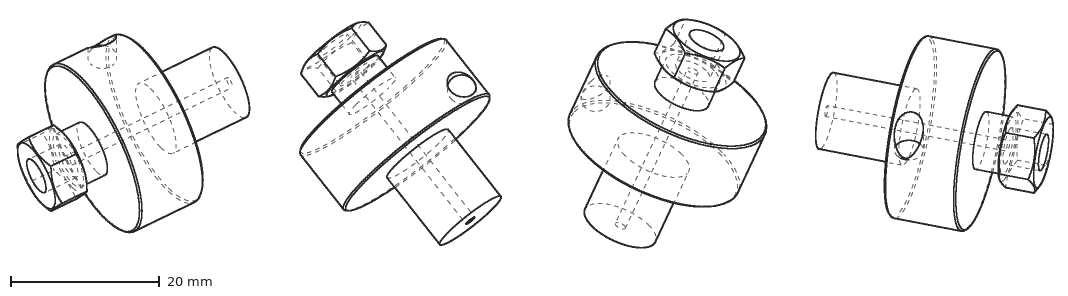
import cadquery as cq
import math

total_length = 30.4
nut_length = 5.0
neck_length = 3.8
disc_width = 10.0
tube_length = total_length - nut_length - neck_length - disc_width

disc_diameter = 25.0
tube_diameter = 10.5
neck_diameter = 7.9
bore_diameter = 1.5
socket_diameter = 5.0

nut_across_flats = 10.0
nut_face_diameter = 9.73
nut_chamfer_angle = 30.0
socket_depth = nut_length

disc_chamfer = 0.25

pocket_diameter = 3.9
pocket_x = -9.5
pocket_from_disc_back = 2.65
pocket_floor_z = 4.75

nut_front = -total_length / 2
nut_back = nut_front + nut_length
disc_front = nut_back + neck_length
disc_back = disc_front + disc_width


def cylinder(diameter, start_y, length):
    """Cylinder on the Y axis, running backward (+Y) from start_y."""
    plane = cq.Workplane("XZ", origin=(0, start_y, 0))
    return plane.circle(diameter / 2).extrude(-length)


def make_nut():
    """Hexagon with its corners on the X axis, turned conically at both ends."""
    corner_radius = nut_across_flats / math.sqrt(3)
    face_radius = nut_face_diameter / 2
    chamfer_drop = (corner_radius - face_radius) * math.tan(math.radians(nut_chamfer_angle))

    hexagon = (
        cq.Workplane("XZ", origin=(0, nut_front, 0))
        .polygon(6, 2 * corner_radius)
        .extrude(-nut_length)
    )
    turned_envelope = (
        cq.Workplane("XY")
        .moveTo(0, nut_front)
        .lineTo(face_radius, nut_front)
        .lineTo(corner_radius, nut_front + chamfer_drop)
        .lineTo(corner_radius, nut_back - chamfer_drop)
        .lineTo(face_radius, nut_back)
        .lineTo(0, nut_back)
        .close()
        .revolve(360, (0, 0, 0), (0, 1, 0))
    )
    return hexagon.intersect(turned_envelope)


def make_disc():
    """Wide disc with both rim edges chamfered."""
    return cylinder(disc_diameter, disc_front, disc_width).edges().chamfer(disc_chamfer)


def make_rim_pocket():
    """Cutter for the rim pocket, reaching from its floor to the top of the disc."""
    pocket_y = disc_back - pocket_from_disc_back
    return (
        cq.Workplane("XY", origin=(pocket_x, pocket_y, pocket_floor_z))
        .circle(pocket_diameter / 2)
        .extrude(disc_diameter / 2 - pocket_floor_z)
    )


neck = cylinder(neck_diameter, nut_back, neck_length)
tube = cylinder(tube_diameter, disc_back, tube_length)
body = make_disc().union(neck).union(make_nut()).union(tube)

bore = cylinder(bore_diameter, nut_front, total_length)
socket = cylinder(socket_diameter, nut_front, socket_depth)
result = body.cut(make_rim_pocket()).cut(bore).cut(socket)